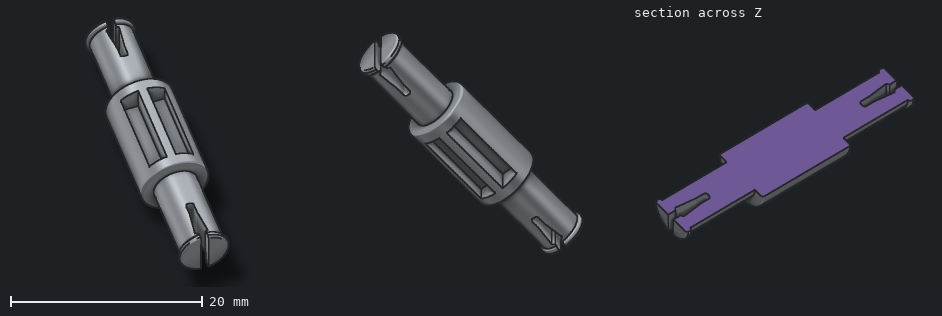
import cadquery as cq
import math

length = 30.2
shaft_diameter = 4.85
body_diameter = 7.5
body_length = 11.72
body_fillet = 0.27
collar_width = 0.75
collar_front_round = 0.25
collar_front_diameter = 5.0
collar_back_round = 0.33

pocket_length = 9.05
rib_width = 1.0
pocket_outer_y = shaft_diameter / 2
pocket_floor_z = 1.03

slot_width = 0.82
slot_step_width = 1.42
step_start = 0.97
step_end = 1.18
taper_end = 3.68
slot_depth = 4.95
slot_end_fillet = 0.27


def cylinder(diameter, width, x_start):
    """Solid cylinder along X."""
    return cq.Workplane("YZ", origin=(x_start, 0, 0)).circle(diameter / 2).extrude(width)


def collar():
    """Retaining collar at the -X end: a short front round meets a larger round that ends on the shaft."""
    shaft_radius = shaft_diameter / 2
    front_radius = collar_front_diameter / 2
    back_center_x = collar_width - collar_back_round
    crest = (back_center_x, shaft_radius + collar_back_round)
    junction_rise = math.sqrt(collar_back_round**2 - (back_center_x - collar_front_round) ** 2)
    junction = (collar_front_round, shaft_radius + junction_rise)
    return (
        cq.Workplane("XY", origin=(-length / 2, 0, 0))
        .lineTo(0, front_radius)
        .radiusArc(junction, collar_front_round)
        .threePointArc(crest, (collar_width, shaft_radius))
        .lineTo(collar_width, 0)
        .close()
        .revolve(360, (0, 0, 0), (1, 0, 0))
    )


def pocket(side_y, side_z):
    """Rectangular pocket beside the central rib, open outwards in Z."""
    width = pocket_outer_y - rib_width / 2
    height = body_diameter / 2 - pocket_floor_z
    center_y = side_y * (pocket_outer_y + rib_width / 2) / 2
    center_z = side_z * (pocket_floor_z + height / 2)
    return cq.Workplane("XY").box(pocket_length, width, height).translate((0, center_y, center_z))


def slot():
    """Slot through the -X end: narrow mouth, wider step, then a taper to a rounded end."""
    half_narrow = slot_width / 2
    half_step = slot_step_width / 2
    upper_side = [
        (0, half_narrow),
        (step_start, half_narrow),
        (step_end, half_step),
        (taper_end, half_narrow),
        (slot_depth, half_narrow),
    ]
    lower_side = [(x, -y) for x, y in reversed(upper_side)]
    cutter = (
        cq.Workplane("XY", origin=(-length / 2, 0, 0))
        .polyline(upper_side + lower_side)
        .close()
        .extrude(body_diameter / 2, both=True)
    )
    return cutter.edges("|Z and >X").fillet(slot_end_fillet)


body = cylinder(body_diameter, body_length, -body_length / 2).edges().fillet(body_fillet)
result = cylinder(shaft_diameter, length, -length / 2).union(body)

for side_y in (-1, 1):
    for side_z in (-1, 1):
        result = result.cut(pocket(side_y, side_z))

for turn in (0, 180):
    result = result.union(collar().rotate((0, 0, 0), (0, 0, 1), turn))
    result = result.cut(slot().rotate((0, 0, 0), (0, 0, 1), turn))